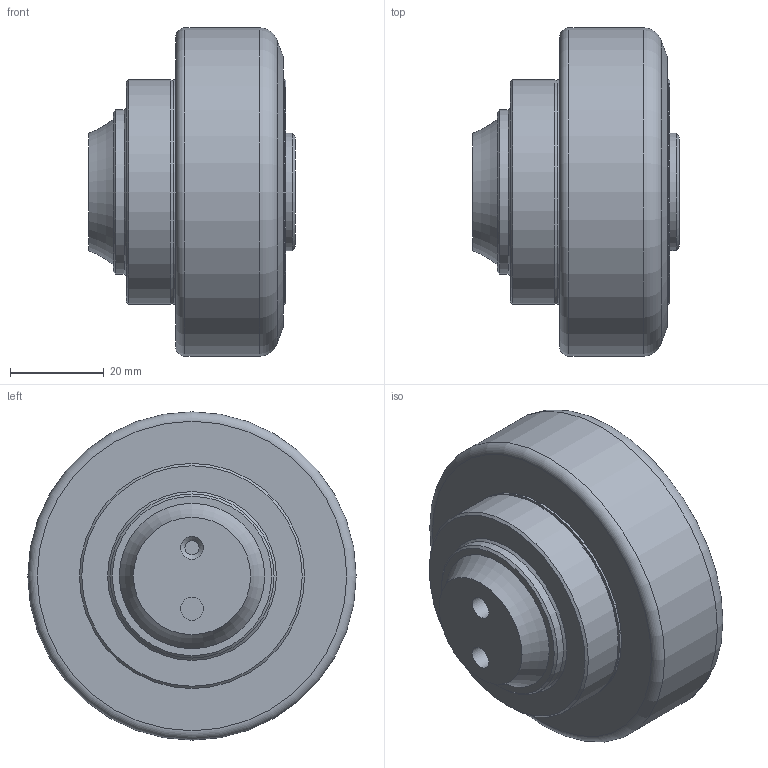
import cadquery as cq
import math

nose_length = 5.2
shoulder_end = 8.0
tread_start = 18.5
tread_width = 23.0
tread_end = tread_start + tread_width
collar_end = tread_end + 0.5
overall_length = 44.0

nose_tip_radius = 12.5
nose_root_radius = 15.5
nose_flare_radius = 20.0
shoulder_radius = 17.5
collar_radius = 24.0
tread_radius = 35.01
hub_radius = 12.5

shoulder_chamfer = 0.5
shoulder_root_chamfer = 0.5
collar_chamfer = 0.5
collar_end_chamfer = 0.25
hub_chamfer_length = 0.6
hub_chamfer_depth = 0.8
tread_front_fillet = 2.0
tread_back_fillet = 4.0
tread_bevel_length = 1.35
tread_back_taper = math.radians(20)

notch_wall = 18.0
notch_depth = 0.5

hole_diameter = 4.92
hole_depth = 10.0
upper_hole_z = 6.0
lower_hole_z = -7.0
cone_tip_diameter = 3.0
cone_depth = (hole_diameter - cone_tip_diameter) / 2


def revolve_about_x(profile):
    return profile.close().revolve(360, (0, 0, 0), (1, 0, 0))


def ring_of_points(points):
    """Revolve a straight-sided outline, given as (x, radius), down to the axis."""
    first_x = points[0][0]
    last_x = points[-1][0]
    return revolve_about_x(cq.Workplane("XY").polyline([(first_x, 0), *points, (last_x, 0)]))


def make_nose():
    """Nose whose side flares out along a concave arc."""
    return revolve_about_x(
        cq.Workplane("XY")
        .lineTo(0, nose_tip_radius)
        .radiusArc((nose_length, nose_root_radius), -nose_flare_radius)
        .lineTo(nose_length, 0)
    )


def make_shoulder():
    return ring_of_points([
        (nose_length, shoulder_radius - shoulder_chamfer),
        (nose_length + shoulder_chamfer, shoulder_radius),
        (shoulder_end - shoulder_root_chamfer, shoulder_radius),
        (shoulder_end, shoulder_radius + shoulder_root_chamfer),
    ])


def make_collar():
    """Collar running through the tread, with a sloped notch in front of it."""
    return ring_of_points([
        (shoulder_end, collar_radius - collar_chamfer),
        (shoulder_end + collar_chamfer, collar_radius),
        (notch_wall - notch_depth, collar_radius),
        (notch_wall, collar_radius - notch_depth),
        (notch_wall, collar_radius),
        (collar_end - collar_end_chamfer, collar_radius),
        (collar_end, collar_radius - collar_end_chamfer),
    ])


def make_tread():
    """Tread with a rounded front edge and a back edge rounded into a bevel."""
    front_centre = (tread_start + tread_front_fillet, tread_radius - tread_front_fillet)
    front_mid = (
        front_centre[0] - tread_front_fillet * math.sqrt(0.5),
        front_centre[1] + tread_front_fillet * math.sqrt(0.5),
    )

    back_sweep = math.pi / 2 - tread_back_taper
    arc_length_x = tread_back_fillet * math.sin(back_sweep)
    arc_drop = tread_back_fillet * (1 - math.cos(back_sweep))
    bevel_drop = tread_bevel_length / math.tan(tread_back_taper)
    arc_end = (tread_end - tread_bevel_length, tread_radius - arc_drop)
    back_centre = (arc_end[0] - arc_length_x, tread_radius - tread_back_fillet)
    back_mid = (
        back_centre[0] + tread_back_fillet * math.sin(back_sweep / 2),
        back_centre[1] + tread_back_fillet * math.cos(back_sweep / 2),
    )

    return revolve_about_x(
        cq.Workplane("XY")
        .moveTo(tread_start, 0)
        .lineTo(tread_start, front_centre[1])
        .threePointArc(front_mid, (front_centre[0], tread_radius))
        .lineTo(back_centre[0], tread_radius)
        .threePointArc(back_mid, arc_end)
        .lineTo(tread_end, arc_end[1] - bevel_drop)
        .lineTo(tread_end, 0)
    )


def make_hub():
    return ring_of_points([
        (collar_end, hub_radius),
        (overall_length - hub_chamfer_length, hub_radius),
        (overall_length, hub_radius - hub_chamfer_depth),
    ])


def make_flat_hole(z):
    """Blind hole bored from the nose face, with a flat bottom."""
    return cq.Workplane("YZ").center(0, z).circle(hole_diameter / 2).extrude(hole_depth)


def make_coned_hole(z):
    """Blind hole whose bottom narrows through a cone to a small flat."""
    cone = cq.Solid.makeCone(
        hole_diameter / 2,
        cone_tip_diameter / 2,
        cone_depth,
        pnt=cq.Vector(hole_depth, 0, z),
        dir=cq.Vector(1, 0, 0),
    )
    return make_flat_hole(z).union(cq.Workplane(cone))


body = make_nose().union(make_shoulder()).union(make_collar()).union(make_tread()).union(make_hub())
result = body.cut(make_coned_hole(upper_hole_z)).cut(make_flat_hole(lower_hole_z))